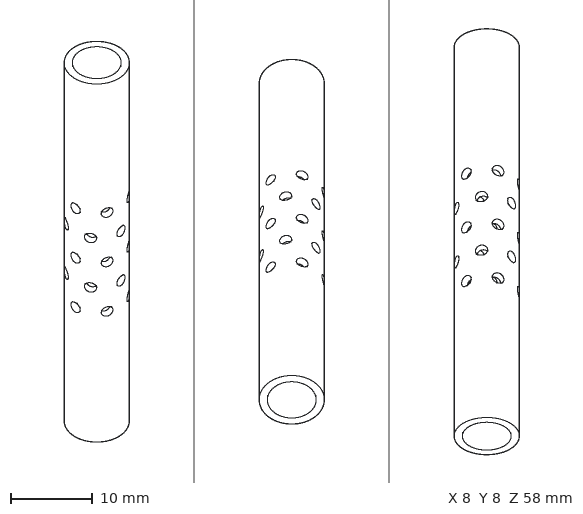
import cadquery as cq

length = 58.0
outer_diameter = 8.0
bore_diameter = 6.0

hole_diameter = 1.5
ring_count = 5
ring_spacing = 4.0
holes_per_ring = 6
hole_step = 360 / holes_per_ring
first_hole_angle = -90


def make_tube():
    """Plain tube standing on the XY plane along Z."""
    return (
        cq.Workplane("XY")
        .circle(outer_diameter / 2)
        .circle(bore_diameter / 2)
        .extrude(length)
    )


def hole_cutter(angle, height):
    """Cylinder from the tube axis out through one side of the wall."""
    return (
        cq.Workplane("YZ")
        .circle(hole_diameter / 2)
        .extrude(outer_diameter)
        .rotate((0, 0, 0), (0, 0, 1), angle)
        .translate((0, 0, height))
    )


result = make_tube()
middle_ring = ring_count // 2
for ring in range(ring_count):
    ring_offset = ring - middle_ring
    height = length / 2 + ring_offset * ring_spacing
    stagger = hole_step / 2 if ring_offset % 2 else 0
    for hole in range(holes_per_ring):
        angle = first_hole_angle + stagger + hole * hole_step
        result = result.cut(hole_cutter(angle, height))